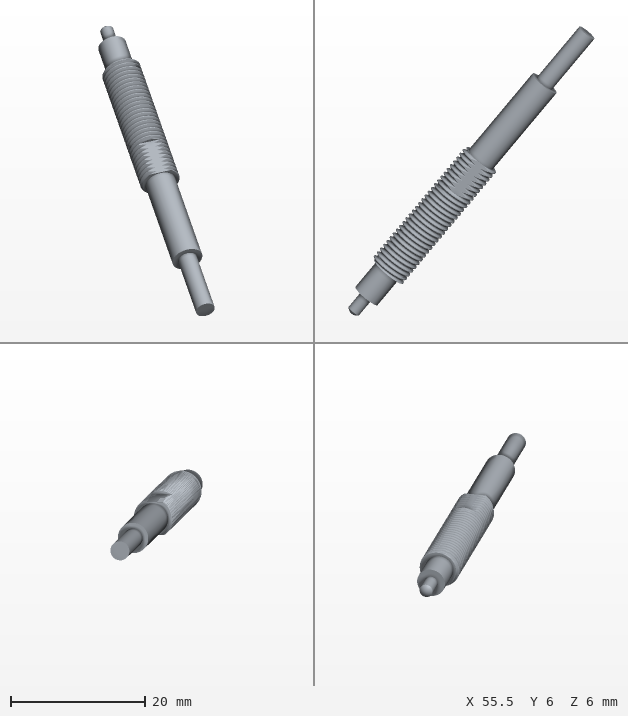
import cadquery as cq
import math

total_length = 55.5

pin_length = 3.5
pin_diameter = 2.0
tip_height = 0.5

collar_length = 5.0
collar_diameter = 4.3

thread_length = 22.0
thread_diameter = 6.0
thread_pitch = 0.75
thread_depth = 0.45
root_flat = 0.1
crest_flat = 0.1
groove_overshoot = 0.05
thread_start_angle = -122.0

flats_length = 6.05
across_flats = 5.0

cable_length = 10.0
cable_diameter = 2.9
body_diameter = 4.6

pin_start = -total_length / 2
collar_start = pin_start + pin_length
thread_start = collar_start + collar_length
thread_end = thread_start + thread_length
flats_start = thread_end - flats_length
cable_start = total_length / 2 - cable_length


def rod(start, end, diameter):
    """Round bar along X between two stations."""
    return cq.Workplane("YZ", origin=(start, 0, 0)).circle(diameter / 2).extrude(end - start)


def domed_pin():
    """Pin with a shallow spherical tip."""
    radius = pin_diameter / 2
    dome_radius = (radius**2 + tip_height**2) / (2 * tip_height)
    half_angle = math.asin(radius / dome_radius) / 2
    arc_middle = (
        pin_start + dome_radius * (1 - math.cos(half_angle)),
        dome_radius * math.sin(half_angle),
    )
    return (
        cq.Workplane("XY")
        .moveTo(pin_start, 0)
        .threePointArc(arc_middle, (pin_start + tip_height, radius))
        .lineTo(collar_start, radius)
        .lineTo(collar_start, 0)
        .close()
        .revolve(360, (0, 0, 0), (1, 0, 0))
    )


def thread_groove():
    """Right-hand helical groove that overruns both ends of the barrel by one pitch."""
    crest_radius = thread_diameter / 2
    root_radius = crest_radius - thread_depth
    outer_radius = crest_radius + groove_overshoot
    flank_slope = (thread_pitch - crest_flat - root_flat) / 2 / thread_depth
    root_half = root_flat / 2
    outer_half = root_half + flank_slope * (outer_radius - root_radius)
    profile = [
        (root_radius, -root_half),
        (outer_radius, -outer_half),
        (outer_radius, outer_half),
        (root_radius, root_half),
    ]
    groove_length = thread_length + 2 * thread_pitch
    helices = [
        cq.Wire.makeHelix(thread_pitch, groove_length, radius, center=cq.Vector(0, 0, height))
        for radius, height in profile
    ]
    sides = [
        cq.Face.makeRuledSurface(helix, helices[index - 1])
        for index, helix in enumerate(helices)
    ]
    ends = [
        cq.Face.makeFromWires(cq.Wire.makePolygon([helix.positionAt(t) for helix in helices], close=True))
        for t in (0, 1)
    ]
    groove = cq.Workplane(obj=cq.Solid.makeSolid(cq.Shell.makeShell(sides + ends)))
    return groove.rotate((0, 0, 0), (0, 1, 0), 90).translate((thread_start - thread_pitch, 0, 0))


def wrench_flats():
    """Slabs that trim the end of the thread at +Z and -Z."""
    slab_height = thread_diameter
    slab_offset = (across_flats + slab_height) / 2
    slab = cq.Workplane("XY").box(flats_length, 2 * thread_diameter, slab_height)
    slab = slab.translate(((flats_start + thread_end) / 2, 0, 0))
    return slab.translate((0, 0, slab_offset)).union(slab.translate((0, 0, -slab_offset)))


def threaded_barrel():
    """Threaded bar turned to its start angle, then trimmed by the flats."""
    blank = rod(thread_start, thread_end, thread_diameter)
    threaded = blank.cut(thread_groove()).rotate((0, 0, 0), (1, 0, 0), thread_start_angle)
    return threaded.cut(wrench_flats())


pin = domed_pin()
collar = rod(collar_start, thread_start, collar_diameter)
barrel = threaded_barrel()
body = rod(thread_end, cable_start, body_diameter)
cable = rod(cable_start, total_length / 2, cable_diameter)

result = pin.union(collar).union(barrel).union(body).union(cable)